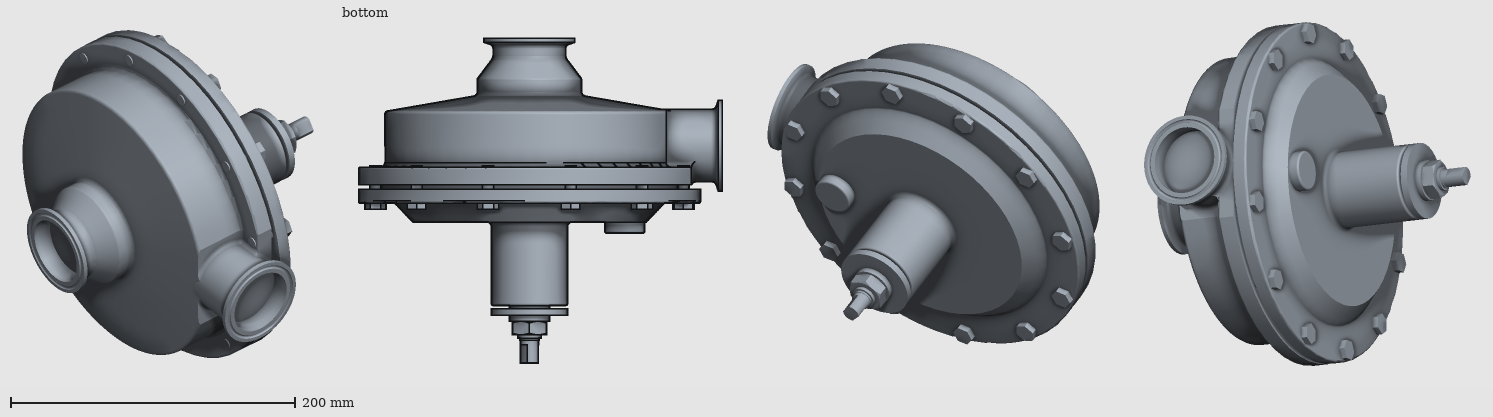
import cadquery as cq
import math

TOTAL_LENGTH = 228.27
OUTLET_REACH = 135.58

TUBE_RADIUS = 25.6
BORE_RADIUS = 23.6
BORE_DEPTH = 14.0
FERRULE_RADIUS = 32.0
FERRULE_RIM = 2.9
FERRULE_BACK = 5.0
FERRULE_FILLET = 2.5
GROOVE_MIDDLE = 28.1
GROOVE_HALF_WIDTH = 1.3
GROOVE_DEPTH = 1.2

CASING_RADIUS = 101.6
FLANGE_RADIUS = 120.27
CASING_FLANGE_FRONT = 90.5
CASING_FLANGE_BACK = 103.0
CASING_FRONT = 51.5
CONE_ANGLE = 9.8
HUB_RADIUS = 36.6
HUB_FRONT = 28.6
REDUCER_FRONT = 14.0
CORNER_FILLET = 3.0
DRUM_EDGE_FILLET = 2.5
HUB_EDGE_FILLET = 2.0
REDUCER_FILLET = 4.5
FLANGE_EDGE_FILLET = 1.6

OUTLET_Y = 75.4
DRUM_FLAT_X = 96.0
FLANGE_FLAT_X = 113.8

SPACER_RADIUS = 104.0

COVER_FLANGE_FRONT = 106.0
COVER_FLANGE_BACK = 115.9
COVER_BACK = 129.2
COVER_BACK_RADIUS = 81.9
COVER_CONE_RADIUS = 94.7
COVER_CORNER_FILLET = 1.5

PORT_X = 66.9
PORT_RADIUS = 14.0
PORT_END = 137.0
PORT_EDGE_FILLET = 1.5

SLEEVE_RADIUS = 26.8
SLEEVE_END = 187.8
SLEEVE_EDGE_FILLET = 1.5
NECK_RADIUS = 14.2
DISC_FRONT = 190.0
DISC_END = 194.8
WASHER_END = 198.9
NUT_END = 208.4
NUT_ACROSS_FLATS = 24.0
NUT_CHAMFER_ANGLE = 30.0
COLLAR_RADIUS = 8.3
COLLAR_END = 210.8
SHOULDER_RADIUS = 6.8
SHOULDER_END = 212.2
SHAFT_RADIUS = 6.4
SHAFT_FLATS_GAP = 9.5
SHAFT_FLATS_START = 215.4
SHAFT_FLATS_TURN = 35.0

BOLT_COUNT = 12
BOLT_CIRCLE_RADIUS = 112.0
BOLT_RADIUS = 4.0
BOLT_FRONT = 89.6
BOLT_HEAD_END = 120.3
BOLT_ACROSS_FLATS = 13.0

TOLERANCE = 0.01


def revolved(points):
    """Solid of revolution about Y from (radius, y) points."""
    return cq.Workplane("XY").polyline(points).close().revolve(360, (0, 0, 0), (0, 1, 0))


def disc(radius, start, end):
    return revolved([(0, start), (radius, start), (radius, end), (0, end)])


def round_rims(body, rims, size):
    """Fillet the circular edges about Y given as (radius, y)."""
    def is_rim(edge):
        if edge.geomType() != "CIRCLE":
            return False
        middle = edge.arcCenter()
        on_axis = math.hypot(middle.x, middle.z) < TOLERANCE
        return on_axis and any(
            abs(edge.radius() - radius) < TOLERANCE and abs(middle.y - y) < TOLERANCE for radius, y in rims
        )
    chosen = [edge for edge in body.edges().vals() if is_rim(edge)]
    return body.newObject(chosen).fillet(size)


def hexagon(across_flats, start, end):
    """Hexagonal prism along Y with two corners on the Z axis."""
    flat_on = cq.Workplane("XZ", origin=(0, end, 0)).polygon(6, across_flats / math.cos(math.pi / 6))
    return flat_on.extrude(end - start).rotate((0, 0, 0), (0, 1, 0), 30)


def tube_end(length):
    """Tube along Y with its ferrule face at Y = 0."""
    tube = revolved([
        (0, 0),
        (FERRULE_RADIUS, 0),
        (FERRULE_RADIUS, FERRULE_RIM),
        (TUBE_RADIUS, FERRULE_BACK),
        (TUBE_RADIUS, length),
        (0, length),
    ])
    return round_rims(tube, [(TUBE_RADIUS, FERRULE_BACK)], FERRULE_FILLET)


def tube_hollow():
    """Blind bore and round gasket groove of a tube end."""
    groove = (
        cq.Workplane("XY")
        .moveTo(GROOVE_MIDDLE - GROOVE_HALF_WIDTH, 0)
        .threePointArc((GROOVE_MIDDLE, GROOVE_DEPTH), (GROOVE_MIDDLE + GROOVE_HALF_WIDTH, 0))
        .close()
        .revolve(360, (0, 0, 0), (0, 1, 0))
    )
    return disc(BORE_RADIUS, 0, BORE_DEPTH).union(groove)


def at_outlet(tube):
    """Turn a tube end from the inlet position to the outlet position."""
    turned = tube.rotate((0, 0, 0), (0, 0, 1), 90)
    return turned.translate((OUTLET_REACH, OUTLET_Y, 0))


def casing():
    """Inlet, reducer, hub, drum and front flange with the outlet on its flats."""
    cone_rise = (CASING_RADIUS - HUB_RADIUS) * math.tan(math.radians(CONE_ANGLE))
    cone_end = CASING_FRONT - cone_rise
    body = revolved([
        (0, REDUCER_FRONT),
        (TUBE_RADIUS, REDUCER_FRONT),
        (HUB_RADIUS, HUB_FRONT),
        (HUB_RADIUS, cone_end),
        (CASING_RADIUS, CASING_FRONT),
        (CASING_RADIUS, CASING_FLANGE_FRONT),
        (FLANGE_RADIUS, CASING_FLANGE_FRONT),
        (FLANGE_RADIUS, CASING_FLANGE_BACK),
        (0, CASING_FLANGE_BACK),
    ]).union(tube_end(REDUCER_FRONT))
    body = round_rims(body, [(TUBE_RADIUS, REDUCER_FRONT)], REDUCER_FILLET)
    body = round_rims(body, [(HUB_RADIUS, HUB_FRONT)], HUB_EDGE_FILLET)
    body = round_rims(body, [(HUB_RADIUS, cone_end)], CORNER_FILLET)
    body = round_rims(body, [(CASING_RADIUS, CASING_FRONT)], DRUM_EDGE_FILLET)

    size = 2 * FLANGE_RADIUS
    drum_cut = cq.Workplane("XY").box(size, CASING_FLANGE_FRONT, size, centered=(False, False, True))
    flange_cut = cq.Workplane("XY").box(size, CASING_FLANGE_BACK, size, centered=(False, False, True))
    body = body.cut(drum_cut.translate((DRUM_FLAT_X, 0, 0)))
    body = body.cut(flange_cut.translate((FLANGE_FLAT_X, 0, 0)))

    edge_trim = body.cut(body.newObject(flange_front_edges(body)).fillet(FLANGE_EDGE_FILLET))
    outlet_zone = at_outlet(disc(TUBE_RADIUS + CORNER_FILLET, 0, OUTLET_REACH))
    body = body.union(at_outlet(tube_end(OUTLET_REACH - DRUM_FLAT_X / 2)))
    body = body.newObject(casing_corners(body)).fillet(CORNER_FILLET)
    return body.cut(edge_trim.cut(outlet_zone))


def flange_face_edges(body):
    """Edges that lie in the front face of the casing flange."""
    return [
        edge for edge in body.edges().vals()
        if max(abs(edge.BoundingBox().ymin - CASING_FLANGE_FRONT),
               abs(edge.BoundingBox().ymax - CASING_FLANGE_FRONT)) < TOLERANCE
    ]


def farthest_radius(edge):
    return max(math.hypot(point.x, point.z) for point in edge.positions([0, 0.5, 1]))


def casing_corners(body):
    """Inner corners where the drum and the outlet meet the flange and the flats."""
    at_drum = [
        edge for edge in flange_face_edges(body)
        if farthest_radius(edge) < CASING_RADIUS + TOLERANCE
    ]
    along_outlet = [
        edge for edge in flange_face_edges(body)
        if edge.geomType() == "LINE" and abs(edge.tangentAt(0).x) > 1 - TOLERANCE
    ]
    around_outlet = [
        edge for edge in body.edges().vals()
        if edge.geomType() == "CIRCLE"
        and abs(edge.radius() - TUBE_RADIUS) < TOLERANCE
        and edge.Center().x < FLANGE_FLAT_X + TOLERANCE
        and edge.Center().x > DRUM_FLAT_X - TOLERANCE
    ]
    return at_drum + along_outlet + around_outlet


def flange_front_edges(body):
    """Outer edges of the front face of the casing flange."""
    return [
        edge for edge in flange_face_edges(body)
        if farthest_radius(edge) > FLANGE_FLAT_X + TOLERANCE
    ]


def cover():
    """Rear flange, cone and bearing sleeve with the spacer and the port boss."""
    body = revolved([
        (0, COVER_FLANGE_FRONT),
        (FLANGE_RADIUS, COVER_FLANGE_FRONT),
        (FLANGE_RADIUS, COVER_FLANGE_BACK),
        (COVER_CONE_RADIUS, COVER_FLANGE_BACK),
        (COVER_BACK_RADIUS, COVER_BACK),
        (SLEEVE_RADIUS, COVER_BACK),
        (SLEEVE_RADIUS, SLEEVE_END),
        (0, SLEEVE_END),
    ])
    body = round_rims(body, [(FLANGE_RADIUS, COVER_FLANGE_BACK)], FLANGE_EDGE_FILLET)
    body = round_rims(body, [(COVER_CONE_RADIUS, COVER_FLANGE_BACK)], COVER_CORNER_FILLET)
    body = round_rims(body, [(SLEEVE_RADIUS, COVER_BACK)], CORNER_FILLET)
    body = round_rims(body, [(SLEEVE_RADIUS, SLEEVE_END)], SLEEVE_EDGE_FILLET)
    spacer = disc(SPACER_RADIUS, CASING_FLANGE_BACK, COVER_FLANGE_FRONT)
    return body.union(spacer).union(port_boss())


def port_boss():
    boss = disc(PORT_RADIUS, COVER_FLANGE_FRONT, PORT_END)
    boss = round_rims(boss, [(PORT_RADIUS, PORT_END)], PORT_EDGE_FILLET)
    return boss.translate((PORT_X, 0, 0))


def shaft_nut():
    """Hexagon nut with both ends chamfered to the size across its flats."""
    corner = NUT_ACROSS_FLATS / 2 / math.cos(math.pi / 6)
    flat = NUT_ACROSS_FLATS / 2
    drop = (corner - flat) * math.tan(math.radians(NUT_CHAMFER_ANGLE))
    chamfers = revolved([
        (0, WASHER_END),
        (flat, WASHER_END),
        (corner, WASHER_END + drop),
        (corner, NUT_END - drop),
        (flat, NUT_END),
        (0, NUT_END),
    ])
    return hexagon(NUT_ACROSS_FLATS, WASHER_END, NUT_END).intersect(chamfers)


def shaft():
    """Neck, clamp disc, washer, nut, collar and shaft end behind the sleeve."""
    body = disc(NECK_RADIUS, SLEEVE_END, WASHER_END)
    body = body.union(disc(SLEEVE_RADIUS, DISC_FRONT, DISC_END))
    body = body.union(shaft_nut())
    body = body.union(disc(COLLAR_RADIUS, NUT_END, COLLAR_END))
    body = body.union(disc(SHOULDER_RADIUS, COLLAR_END, SHOULDER_END))
    return body.union(shaft_end())


def shaft_end():
    """Round shaft end with two parallel wrench flats."""
    flat_length = TOTAL_LENGTH - SHAFT_FLATS_START
    between_flats = (
        cq.Workplane("XY")
        .box(SHAFT_FLATS_GAP, flat_length, 2 * SHAFT_RADIUS)
        .translate((0, SHAFT_FLATS_START + flat_length / 2, 0))
        .rotate((0, 0, 0), (0, 1, 0), -SHAFT_FLATS_TURN)
    )
    flatted = disc(SHAFT_RADIUS, SHAFT_FLATS_START, TOTAL_LENGTH).intersect(between_flats)
    return disc(SHAFT_RADIUS, SHOULDER_END, SHAFT_FLATS_START).union(flatted)


def bolts():
    """Ring of hexagon bolts through both flanges, none on the X and Z axes."""
    step = 360 / BOLT_COUNT
    bolt = disc(BOLT_RADIUS, BOLT_FRONT, BOLT_HEAD_END)
    bolt = bolt.union(hexagon(BOLT_ACROSS_FLATS, COVER_FLANGE_BACK, BOLT_HEAD_END))
    first = bolt.rotate((0, 0, 0), (0, 1, 0), step / 2).translate((0, 0, BOLT_CIRCLE_RADIUS))
    ring = []
    for index in range(BOLT_COUNT):
        ring.append(first.rotate((0, 0, 0), (0, 1, 0), (index + 0.5) * step))
    return ring


result = casing().union(cover()).union(shaft())
for flange_bolt in bolts():
    result = result.union(flange_bolt)
result = result.cut(tube_hollow()).cut(at_outlet(tube_hollow()))